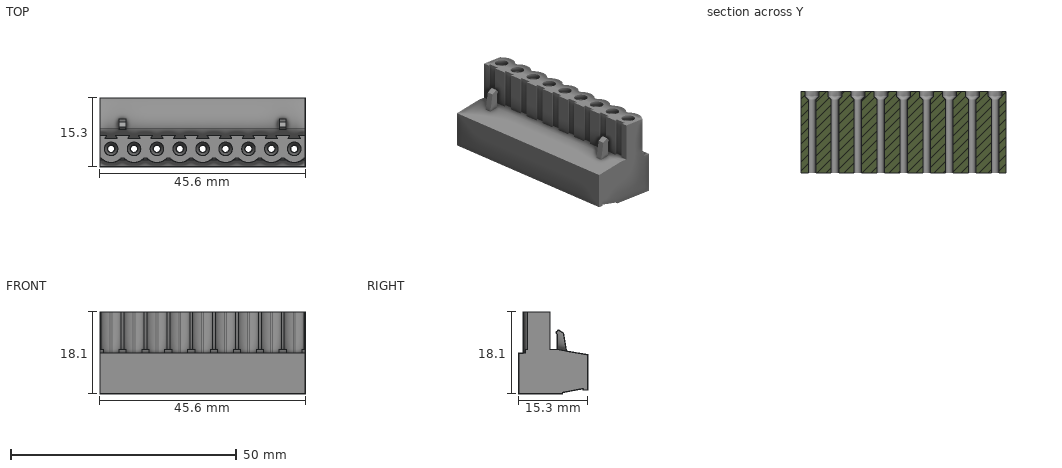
import math

import cadquery as cq


pole_count = 9
pitch = 5.08
first_pole_x = 2.47
pole_y = 4.0
pole_xs = [first_pole_x + i * pitch for i in range(pole_count)]

length = 45.61
depth = 15.33
height = 18.15

front_ledge_z = 9.0
roof_z = 9.83
roof_bend_y = 8.55
roof_rear_z = 8.68
underside_slope_front_y = 9.75
underside_slope_front_z = 0.25
underside_slope_rear_y = 14.3
underside_slope_rear_z = 1.12
rear_foot_z = 0.83

tower_front_y = 1.95
tower_rear_y = 6.98
pole_radius = 3.02
pole_flat_width = 0.41

step_front_y = 1.53

entry_radius = 1.5
entry_depth = 1.1
bore_radius = 0.78
seat_depth = entry_radius - bore_radius

groove_mouth_width = 2.0
groove_floor_width = 2.7
groove_depth = 0.67

latch_width = 1.5
latch_root_depth = 1.6
latch_foot_rear_y = 10.63
latch_shoulder_y = 9.95
latch_shoulder_z = 13.45
latch_tip_y = 8.8
latch_top_z = 14.2
latch_hook_y = 8.25
latch_hook_z = 13.6
latch_neck_z = 13.1


def extrude_along_x(points, x_start, width):
    """Extrude a closed (y, z) outline along +X."""
    return cq.Workplane("YZ").workplane(offset=x_start).polyline(points).close().extrude(width)


def make_body():
    outline = [
        (0, 0),
        (underside_slope_front_y, 0),
        (underside_slope_front_y, underside_slope_front_z),
        (underside_slope_rear_y, underside_slope_rear_z),
        (underside_slope_rear_y, rear_foot_z),
        (depth, rear_foot_z),
        (depth, roof_rear_z),
        (roof_bend_y, roof_z),
        (tower_rear_y, roof_z),
        (tower_rear_y, height),
        (tower_front_y, height),
        (tower_front_y, roof_z),
        (step_front_y, roof_z),
        (step_front_y, front_ledge_z),
        (0, front_ledge_z),
    ]
    return extrude_along_x(outline, 0, length)


def make_pole_front(x):
    """Rounded front of one pole, with a narrow flat down its middle."""

    def arc_point(angle):
        return (x + pole_radius * math.sin(angle), pole_y - pole_radius * math.cos(angle))

    side_angle = math.acos((pole_y - tower_front_y) / pole_radius)
    flat_angle = math.asin(pole_flat_width / 2 / pole_radius)
    middle_angle = (side_angle + flat_angle) / 2
    return (
        cq.Workplane("XY")
        .workplane(offset=front_ledge_z)
        .moveTo(*arc_point(-side_angle))
        .threePointArc(arc_point(-middle_angle), arc_point(-flat_angle))
        .lineTo(*arc_point(flat_angle))
        .threePointArc(arc_point(middle_angle), arc_point(side_angle))
        .close()
        .extrude(height - front_ledge_z)
    )


def make_screw_hole(x):
    """Entry, conical seat and bore as one turned cutter on the pole axis."""
    seat_top_z = height - entry_depth
    half_section = [
        (0, 0),
        (bore_radius, 0),
        (bore_radius, seat_top_z - seat_depth),
        (entry_radius, seat_top_z),
        (entry_radius, height),
        (0, height),
    ]
    cutter = cq.Workplane("XZ").polyline(half_section).close().revolve(360, (0, 0), (0, 1))
    return cutter.translate((x, pole_y, 0))


def make_groove(x):
    floor_y = tower_rear_y - groove_depth
    outline = [
        (x - groove_mouth_width / 2, tower_rear_y),
        (x - groove_floor_width / 2, floor_y),
        (x + groove_floor_width / 2, floor_y),
        (x + groove_mouth_width / 2, tower_rear_y),
    ]
    return (
        cq.Workplane("XY").workplane(offset=roof_z).polyline(outline).close().extrude(height - roof_z)
    )


def make_latch(x):
    roof_slope = (roof_z - roof_rear_z) / (depth - roof_bend_y)
    foot_rear_z = roof_z - roof_slope * (latch_foot_rear_y - roof_bend_y)
    outline = [
        (roof_bend_y, foot_rear_z - latch_root_depth),
        (latch_foot_rear_y, foot_rear_z - latch_root_depth),
        (latch_foot_rear_y, foot_rear_z),
        (latch_shoulder_y, latch_shoulder_z),
        (latch_tip_y, latch_top_z),
        (latch_hook_y, latch_hook_z),
        (roof_bend_y, latch_neck_z),
    ]
    return extrude_along_x(outline, x - latch_width / 2, latch_width)


result = make_body()
for pole_x in pole_xs:
    result = result.union(make_pole_front(pole_x))
for latch_x in (pole_xs[0] + pitch / 2, pole_xs[-1] - pitch / 2):
    result = result.union(make_latch(latch_x))
for pole_x in pole_xs:
    result = result.cut(make_screw_hole(pole_x)).cut(make_groove(pole_x))